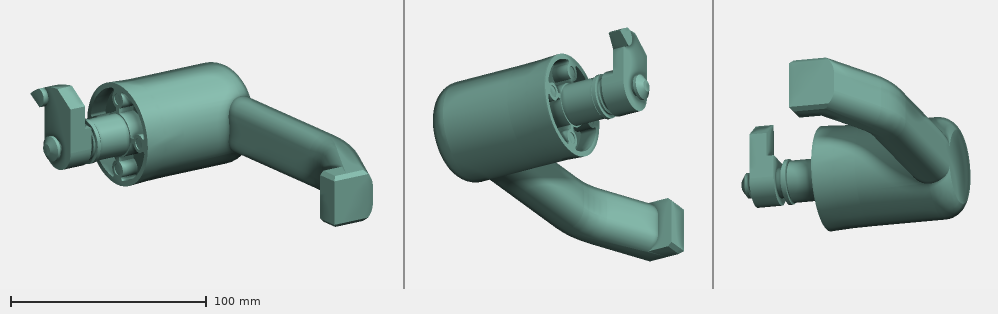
import cadquery as cq
import math


HUB_TOP = 71.4
HUB_RADIUS = 26.4
DOME_RADIUS = 10.6
DOME_HEIGHT = 10.0
FLARE_START = 23.0
RIM_RADIUS = 27.0
RIM_HEIGHT = 0.7
RIM_FLARE_SLOPE = 0.07
RECESS_RADIUS = 24.3
RECESS_DEPTH = 9.1

BOSS_OFFSET = 18.8
BOSS_DIAMETER = 9.5
BOSS_HOLE_DIAMETER = 6.0
BOSS_HOLE_DEPTH = 0.5
INNER_WEB_WIDTH = 2.7
OUTER_WEB_WIDTH = 6.5
WALL_FILLET = 1.1
SLEEVE_DIAMETER = 23.5

SHAFT_DIAMETER, SHAFT_END = 21.8, -17.8
UNDERCUT_DIAMETER, UNDERCUT_END = 19.4, -18.5
WASHER_DIAMETER, WASHER_END = 23.5, -20.5
SHOULDER_DIAMETER, SHOULDER_END = 19.4, -21.6
NECK_DIAMETER, NECK_END = 16.0, -24.5

CAM_HALF_WIDTH = 11.7
CAM_BACK = NECK_END
ARM_BACK = -28.4
CAM_FACE = -37.5
ARM_REACH = 31.5
ARM_CORNER_Z = 23.6
HOOK_TIP_X = -20.1
HOOK_ROOT_Z = 19.0
CAM_BOSS_TOP = 11.3
CAM_BOSS_SIDE_Z = 4.2
CAM_BOSS_ARC_END_X = -1.8
CAM_BOSS_ARC_RADIUS = 10.5
RAMP_START_X = -1.0
RAMP_ANGLE = 15.5
PAD_FACE = -40.5
PAD_RADIUS = 5.1
PAD_CENTER_X = -13.2
PAD_CENTER_Z = 24.0

SCREW_NECK_DIAMETER = 7.9
SCREW_HEAD_BACK = -40.0
SCREW_HEAD_DIAMETER = 13.2
SCREW_HEAD_RIM = 1.6
SCREW_TIP_DIAMETER = 6.0
SCREW_TIP = -44.3

LEVER_WIDTH = 29.8
LEVER_THICKNESS = 20.0
BEND_START_X = 97.7
BEND_RADIUS = 49.8
BEND_ANGLE = 25.0
LEVER_END_X = 155.9
SIDE_FLAT_START_X = 103.4
SIDE_FLAT_END_Z = 13.7
TIP_LENGTH = 12.6
TIP_BOTTOM = 26.4
TIP_CHAMFER = 2.0

CLEARANCE = 9.1


def disc(diameter, start, end):
    """Cylinder on the spindle axis between two Y positions."""
    return cq.Workplane("XZ", origin=(0, start, 0)).circle(diameter / 2).extrude(start - end)


def on_plane(y):
    """Sketch plane facing -Y, with sketch axes along X and Z."""
    return cq.Workplane("XZ", origin=(0, y, 0))


def dome_inset():
    """Radial distance the dome curves in by the time it reaches the hub top."""
    return DOME_RADIUS - math.sqrt(DOME_RADIUS**2 - DOME_HEIGHT**2)


def make_hub():
    """Domed cup that flares slightly at its mouth, before the recess is cut."""
    dome_sweep = 2 * math.asin(math.hypot(DOME_HEIGHT, dome_inset()) / (2 * DOME_RADIUS))
    dome_mid_x = HUB_RADIUS - DOME_RADIUS * (1 - math.cos(dome_sweep / 2))
    dome_mid_y = HUB_TOP - DOME_HEIGHT + DOME_RADIUS * math.sin(dome_sweep / 2)
    return (
        cq.Workplane("XY")
        .lineTo(RIM_RADIUS, 0)
        .lineTo(RIM_RADIUS, RIM_HEIGHT)
        .spline([(HUB_RADIUS, FLARE_START)], tangents=[(-RIM_FLARE_SLOPE, 1), (0, 1)], includeCurrent=True)
        .lineTo(HUB_RADIUS, HUB_TOP - DOME_HEIGHT)
        .threePointArc((dome_mid_x, dome_mid_y), (HUB_RADIUS - dome_inset(), HUB_TOP))
        .lineTo(0, HUB_TOP)
        .close()
        .revolve(360, (0, 0, 0), (0, 1, 0))
    )


def make_recess():
    """Recess at the hub mouth, leaving the sleeve, four bosses and their webs standing."""
    recess = on_plane(0).circle(RECESS_RADIUS).extrude(-RECESS_DEPTH)
    recess = recess.cut(on_plane(0).circle(SLEEVE_DIAMETER / 2).extrude(-RECESS_DEPTH))
    outer_web_length = RIM_RADIUS - BOSS_OFFSET
    for quarter in range(4):
        boss = on_plane(0).center(BOSS_OFFSET, 0).circle(BOSS_DIAMETER / 2).extrude(-RECESS_DEPTH)
        inner_web = on_plane(0).center(BOSS_OFFSET / 2, 0)
        inner_web = inner_web.rect(BOSS_OFFSET, INNER_WEB_WIDTH).extrude(-RECESS_DEPTH)
        outer_web = on_plane(0).center(BOSS_OFFSET + outer_web_length / 2, 0)
        outer_web = outer_web.rect(outer_web_length, OUTER_WEB_WIDTH).extrude(-RECESS_DEPTH)
        island = boss.union(inner_web).union(outer_web)
        recess = recess.cut(island.rotate((0, 0, 0), (0, 1, 0), 90 * quarter))

    def meets_wall(edge):
        """True for a corner where an outer web meets the recess wall."""
        center = edge.Center()
        return math.hypot(center.x, center.z) > RECESS_RADIUS - WALL_FILLET

    return recess.edges("|Y").filter(meets_wall).fillet(WALL_FILLET)


def make_boss_holes():
    """Shallow round recesses, one in the end of each boss."""
    return (
        on_plane(0)
        .polarArray(BOSS_OFFSET, 0, 360, 4)
        .circle(BOSS_HOLE_DIAMETER / 2)
        .extrude(-BOSS_HOLE_DEPTH)
    )


def make_lever():
    """Stadium-section bar with one bend, flattened on its sides towards a hooked tip."""
    bend = math.radians(BEND_ANGLE)
    center_y = HUB_TOP - LEVER_THICKNESS / 2
    bend_end_x = BEND_START_X + BEND_RADIUS * math.sin(bend)
    bend_end_y = center_y - BEND_RADIUS * (1 - math.cos(bend))
    bend_mid_x = BEND_START_X + BEND_RADIUS * math.sin(bend / 2)
    bend_mid_y = center_y - BEND_RADIUS * (1 - math.cos(bend / 2))

    def tail_y(x):
        """Height of the tail's center line at a given X."""
        return bend_end_y - (x - bend_end_x) * math.tan(bend)

    overrun_x = LEVER_END_X + CLEARANCE
    path = (
        cq.Workplane("XY")
        .moveTo(0, center_y)
        .lineTo(BEND_START_X, center_y)
        .threePointArc((bend_mid_x, bend_mid_y), (bend_end_x, bend_end_y))
        .lineTo(overrun_x, tail_y(overrun_x))
    )
    bar = (
        cq.Workplane("YZ", origin=(0, center_y, 0))
        .slot2D(LEVER_WIDTH, LEVER_THICKNESS, 90)
        .sweep(path)
    )

    tip_start_x = LEVER_END_X - TIP_LENGTH
    tip = (
        cq.Workplane("XY")
        .moveTo(tip_start_x, TIP_BOTTOM)
        .lineTo(LEVER_END_X, TIP_BOTTOM)
        .lineTo(LEVER_END_X, tail_y(LEVER_END_X))
        .lineTo(tip_start_x, tail_y(tip_start_x))
        .close()
        .extrude(SIDE_FLAT_END_Z, both=True)
    )

    half_width = LEVER_WIDTH / 2
    chamfer_x = LEVER_END_X - TIP_CHAMFER
    chamfer_z = SIDE_FLAT_END_Z - TIP_CHAMFER
    upper_edge = [
        (0, half_width),
        (SIDE_FLAT_START_X, half_width),
        (chamfer_x, SIDE_FLAT_END_Z),
        (LEVER_END_X, chamfer_z),
    ]
    lower_edge = [(x, -z) for x, z in reversed(upper_edge)]
    trim = on_plane(0).polyline(upper_edge + lower_edge).close().extrude(-HUB_TOP)

    lever = bar.union(tip).intersect(trim)

    bottom_chamfer = (
        cq.Workplane("YZ", origin=(tip_start_x, 0, 0))
        .moveTo(TIP_BOTTOM, chamfer_z)
        .lineTo(TIP_BOTTOM + TIP_CHAMFER, SIDE_FLAT_END_Z)
        .lineTo(TIP_BOTTOM, SIDE_FLAT_END_Z)
        .close()
        .extrude(TIP_LENGTH)
    )
    return lever.cut(bottom_chamfer).cut(bottom_chamfer.mirror("XY"))


def make_spindle():
    """Stepped shaft from the hub sleeve down to the back of the cam."""
    spindle = disc(SHAFT_DIAMETER, 0, SHAFT_END)
    spindle = spindle.union(disc(UNDERCUT_DIAMETER, SHAFT_END, UNDERCUT_END))
    spindle = spindle.union(disc(WASHER_DIAMETER, UNDERCUT_END, WASHER_END))
    spindle = spindle.union(disc(SHOULDER_DIAMETER, WASHER_END, SHOULDER_END))
    return spindle.union(disc(NECK_DIAMETER, SHOULDER_END, NECK_END))


def make_cam_boss():
    """Thick part of the cam around the spindle."""
    return (
        on_plane(CAM_BACK)
        .moveTo(-CAM_HALF_WIDTH, 0)
        .threePointArc((0, -CAM_HALF_WIDTH), (CAM_HALF_WIDTH, 0))
        .lineTo(CAM_HALF_WIDTH, CAM_BOSS_TOP)
        .lineTo(CAM_BOSS_ARC_END_X, CAM_BOSS_TOP)
        .radiusArc((-CAM_HALF_WIDTH, CAM_BOSS_SIDE_Z), -CAM_BOSS_ARC_RADIUS)
        .close()
        .extrude(CAM_BACK - CAM_FACE)
    )


def arm_outline(start, end):
    """Hooked arm outline, extruded between two Y positions."""
    tip_angle = math.acos(HOOK_TIP_X / ARM_REACH)
    mid_angle = (tip_angle + math.pi / 2) / 2
    arc_mid = (ARM_REACH * math.cos(mid_angle), ARM_REACH * math.sin(mid_angle))
    hook_tip = (HOOK_TIP_X, ARM_REACH * math.sin(tip_angle))
    return (
        on_plane(start)
        .moveTo(-CAM_HALF_WIDTH, 0)
        .threePointArc((0, -CAM_HALF_WIDTH), (CAM_HALF_WIDTH, 0))
        .lineTo(CAM_HALF_WIDTH, ARM_CORNER_Z)
        .lineTo(0, ARM_REACH)
        .threePointArc(arc_mid, hook_tip)
        .lineTo(-CAM_HALF_WIDTH, HOOK_ROOT_Z)
        .close()
        .extrude(start - end)
    )


def make_cam():
    """Cam with a ramped back on the hook side and a raised pad at the hook tip."""
    ramp_end_x = HOOK_TIP_X - CLEARANCE
    ramp_drop = (RAMP_START_X - ramp_end_x) * math.tan(math.radians(RAMP_ANGLE))
    ramp = (
        cq.Workplane("XY")
        .moveTo(RAMP_START_X, ARM_BACK)
        .lineTo(ramp_end_x, ARM_BACK)
        .lineTo(ramp_end_x, ARM_BACK - ramp_drop)
        .close()
        .extrude(ARM_REACH + CLEARANCE, both=True)
    )
    arm = arm_outline(ARM_BACK, CAM_FACE).cut(ramp)

    pad_height = CAM_FACE - PAD_FACE
    pad_reach = PAD_CENTER_X - ramp_end_x
    pad = on_plane(CAM_FACE).center(PAD_CENTER_X, PAD_CENTER_Z).circle(PAD_RADIUS).extrude(pad_height)
    pad_tail = on_plane(CAM_FACE).center(PAD_CENTER_X - pad_reach / 2, PAD_CENTER_Z)
    pad_tail = pad_tail.rect(pad_reach, 2 * PAD_RADIUS).extrude(pad_height)
    pad = pad.union(pad_tail).intersect(arm_outline(CAM_FACE, PAD_FACE))

    return make_cam_boss().union(arm).union(pad)


def make_screw():
    """Screw neck and low conical head in front of the cam."""
    neck = disc(SCREW_NECK_DIAMETER, CAM_FACE, SCREW_HEAD_BACK)
    head_radius = SCREW_HEAD_DIAMETER / 2
    head = (
        cq.Workplane("XY")
        .moveTo(0, SCREW_HEAD_BACK)
        .lineTo(head_radius, SCREW_HEAD_BACK)
        .lineTo(head_radius, SCREW_HEAD_BACK - SCREW_HEAD_RIM)
        .lineTo(SCREW_TIP_DIAMETER / 2, SCREW_TIP)
        .lineTo(0, SCREW_TIP)
        .close()
        .revolve(360, (0, 0, 0), (0, 1, 0))
    )
    return neck.union(head)


result = make_hub().union(make_lever()).cut(make_recess()).cut(make_boss_holes())
result = result.union(make_spindle()).union(make_cam()).union(make_screw())